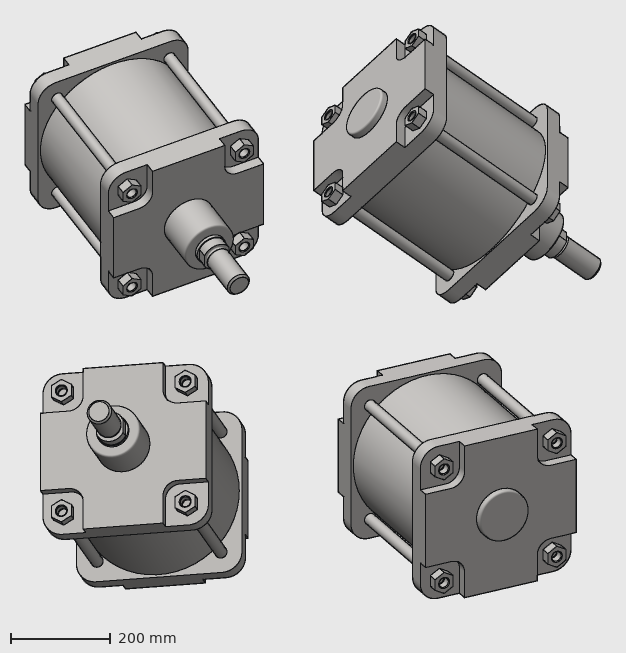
import cadquery as cq
import math


cap_side = 340.0
cap_corner_radius = 40.5
rear_cap_length = 57.0
front_cap_length = 55.5
pocket_side = 88.0
pocket_depth = 22.5
pocket_corner_radius = 30.5

boss_diameter = 110.0
boss_fillet = 4.0
rear_boss_length = 15.0
front_boss_length = 90.5

barrel_diameter = 330.0
barrel_length = 267.5

tie_rod_diameter = 24.5
tie_rod_offset = 127.0
nut_across_flats = 41.0
nut_height = 21.0
nut_bore_diameter = 21.0
nut_bore_chamfer = 2.0

overall_length = 612.0
collar_diameter = 65.5
collar_length = 7.5
neck_diameter = 62.0
neck_length = 22.0
neck_across_flats = 55.0
groove_diameter = 46.5
groove_length = 7.0
thread_diameter = 50.0
thread_chamfer = 4.0

rear_cap_outer = rear_boss_length
rear_cap_inner = rear_cap_outer + rear_cap_length
front_cap_inner = rear_cap_inner + barrel_length
front_cap_outer = front_cap_inner + front_cap_length
front_boss_end = front_cap_outer + front_boss_length
collar_end = front_boss_end + collar_length
neck_end = collar_end + neck_length
thread_start = neck_end + groove_length

corner_signs = [(-1, -1), (-1, 1), (1, -1), (1, 1)]


def plane_at(x):
    """Plane across the axis at X = x: local x is Y, local y is Z, normal is +X."""
    return cq.Workplane("YZ", origin=(x, 0, 0))


def cylinder(diameter, start, end):
    """Cylinder on the main axis between two X stations."""
    return plane_at(start).circle(diameter / 2).extrude(end - start)


def make_cap(outer_x, inner_x, boss_end):
    """Square cap with a pocket at each outer corner, a boss and four tie-rod holes."""
    cap = plane_at(outer_x).rect(cap_side, cap_side).extrude(inner_x - outer_x)
    cap = cap.edges("|X").fillet(cap_corner_radius)

    inward = math.copysign(1, inner_x - outer_x)
    pocket_centers = [(y * cap_side / 2, z * cap_side / 2) for y, z in corner_signs]
    pockets = (
        plane_at(outer_x)
        .pushPoints(pocket_centers)
        .rect(2 * pocket_side, 2 * pocket_side)
        .extrude(inward * pocket_depth)
        .edges("|X")
        .fillet(pocket_corner_radius)
    )
    cap = cap.cut(pockets)

    boss_tip = "<X" if boss_end < outer_x else ">X"
    boss = cylinder(boss_diameter, outer_x, boss_end).faces(boss_tip).fillet(boss_fillet)

    tie_rod_centers = [(y * tie_rod_offset, z * tie_rod_offset) for y, z in corner_signs]
    holes = (
        plane_at(outer_x)
        .pushPoints(tie_rod_centers)
        .circle(tie_rod_diameter / 2)
        .extrude(inner_x - outer_x)
    )
    return cap.union(boss).cut(holes)


def make_tie_rod(y, z):
    """Tie rod through both caps, with a bored hexagonal nut seated in each pocket."""
    rear_seat = rear_cap_outer + pocket_depth
    front_seat = front_cap_outer - pocket_depth
    rod = plane_at(rear_seat).center(y, z).circle(tie_rod_diameter / 2).extrude(front_seat - rear_seat)

    corner_diameter = nut_across_flats / math.cos(math.pi / 6)
    for seat, outward, tip in [(rear_seat, -1, "<X"), (front_seat, 1, ">X")]:
        nut = (
            plane_at(seat)
            .center(y, z)
            .transformed(rotate=(0, 0, 90))
            .polygon(6, corner_diameter)
            .extrude(outward * nut_height)
        )
        bore = plane_at(seat).center(y, z).circle(nut_bore_diameter / 2).extrude(outward * nut_height)
        nut = nut.cut(bore)
        nut = nut.faces(tip).edges("%CIRCLE").chamfer(nut_bore_chamfer)
        rod = rod.union(nut)
    return rod


def make_piston_rod():
    """Turned rod end: collar, neck with two wrench flats, round-cornered groove and threaded end."""
    collar_radius = collar_diameter / 2
    neck_radius = neck_diameter / 2
    groove_radius = groove_diameter / 2
    thread_radius = thread_diameter / 2
    corner = thread_radius - groove_radius
    corner_inset = corner * (1 - math.sqrt(0.5))
    corner_middle_radius = groove_radius + corner_inset

    rod = (
        cq.Workplane("XY")
        .moveTo(front_boss_end, 0)
        .lineTo(front_boss_end, collar_radius)
        .lineTo(collar_end, collar_radius)
        .lineTo(collar_end, neck_radius)
        .lineTo(neck_end, neck_radius)
        .lineTo(neck_end, thread_radius)
        .threePointArc((neck_end + corner_inset, corner_middle_radius), (neck_end + corner, groove_radius))
        .lineTo(thread_start - corner, groove_radius)
        .threePointArc((thread_start - corner_inset, corner_middle_radius), (thread_start, thread_radius))
        .lineTo(overall_length - thread_chamfer, thread_radius)
        .lineTo(overall_length, thread_radius - thread_chamfer)
        .lineTo(overall_length, 0)
        .close()
        .revolve(360, (0, 0, 0), (1, 0, 0))
    )
    between_flats = plane_at(collar_end).rect(neck_across_flats, neck_diameter).extrude(neck_length)
    flat_cutter = cylinder(collar_diameter, collar_end, neck_end).cut(between_flats)
    return rod.cut(flat_cutter)


rear_cap = make_cap(rear_cap_outer, rear_cap_inner, 0)
front_cap = make_cap(front_cap_outer, front_cap_inner, front_boss_end)
barrel = cylinder(barrel_diameter, rear_cap_inner, front_cap_inner)
piston_rod = make_piston_rod()
tie_rods = [make_tie_rod(y * tie_rod_offset, z * tie_rod_offset) for y, z in corner_signs]

result = cq.Compound.makeCompound(
    [rear_cap.val(), front_cap.val(), barrel.val(), piston_rod.val()]
    + [tie_rod.val() for tie_rod in tie_rods]
)